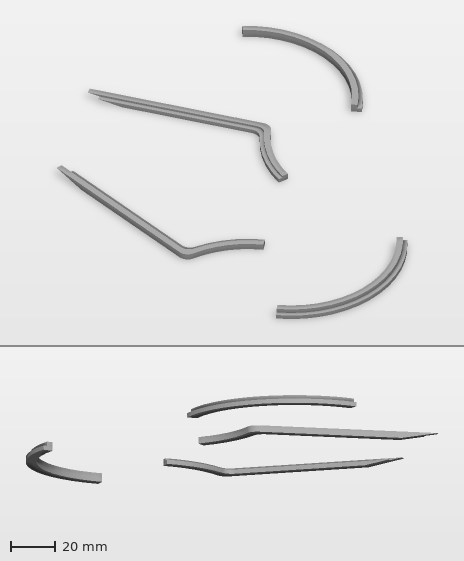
import cadquery as cq
import math

foot_height = 2.0
foot_width = 5.0
rail_width = 3.0
arc_height = 4.0
leg_height = 3.0

outer_radius = 52.5
inner_radius = outer_radius - foot_width

arc_sweep = 100
arc_places = [
    (69.6, 144.8, 10),
    (120.3, 51.7, -80),
]

tail_center_x = 134.0
tail_center_y = 5.3
tail_end_angle = 231
bend_radius = 5.0
tip_angle = 10

upper_leg_tip = (0.0, 129.4)
lower_leg_tip = (3.2, 70.2)
lower_leg_angle = -30


def polar(center, radius, angle):
    """Point at a radius and an angle in degrees around a centre."""
    turn = math.radians(angle)
    return (center[0] + radius * math.cos(turn), center[1] + radius * math.sin(turn))


def arc_strip(center, start_angle, width, height):
    """Curved strip that starts at the inner radius and has the given width."""
    radius = inner_radius + width
    middle_angle = start_angle + arc_sweep / 2
    end_angle = start_angle + arc_sweep
    return (
        cq.Workplane("XY")
        .moveTo(*polar(center, inner_radius, start_angle))
        .lineTo(*polar(center, radius, start_angle))
        .threePointArc(polar(center, radius, middle_angle), polar(center, radius, end_angle))
        .lineTo(*polar(center, inner_radius, end_angle))
        .threePointArc(
            polar(center, inner_radius, middle_angle), polar(center, inner_radius, start_angle)
        )
        .close()
        .extrude(height)
    )


def make_arc(center_x, center_y, start_angle):
    """Arc piece with its low foot ledge along the outer side."""
    center = (center_x, center_y)
    foot = arc_strip(center, start_angle, foot_width, foot_height)
    rail = arc_strip(center, start_angle, rail_width, arc_height)
    return foot.union(rail)


def bend_angle(offset):
    """Angle around the tail centre where a shaft edge meets its tail curve."""
    return 180 + math.degrees(math.asin((tail_center_y + offset) / (inner_radius + offset)))


def leg_strip(width, height):
    """Straight shaft running into a curved tail, with rounded bends."""
    center = (tail_center_x, tail_center_y)
    radius = inner_radius + width
    near_bend_angle = bend_angle(0)
    far_bend_angle = bend_angle(width)
    near_bend = polar(center, inner_radius, near_bend_angle)
    far_bend = polar(center, radius, far_bend_angle)
    near_middle = polar(center, inner_radius, (near_bend_angle + tail_end_angle) / 2)
    far_middle = polar(center, radius, (far_bend_angle + tail_end_angle) / 2)
    strip = (
        cq.Workplane("XY")
        .lineTo(*near_bend)
        .threePointArc(near_middle, polar(center, inner_radius, tail_end_angle))
        .lineTo(*polar(center, radius, tail_end_angle))
        .threePointArc(far_middle, far_bend)
        .lineTo(0, -width)
        .close()
        .extrude(height)
    )
    for bend in (near_bend, far_bend):
        corner = cq.NearestToPointSelector((bend[0], bend[1], height / 2))
        strip = strip.edges("|Z").edges(corner).fillet(bend_radius)
    return strip


def tip_wedge():
    """Material under the slope that thins the shaft to a sharp tip."""
    tip_length = leg_height / math.tan(math.radians(tip_angle))
    return (
        cq.Workplane("XZ")
        .lineTo(tip_length, 0)
        .lineTo(0, leg_height)
        .close()
        .extrude(foot_width)
    )


def make_leg():
    """Leg piece in its local frame, with the foot ledge on the -Y side of the shaft."""
    foot = leg_strip(foot_width, foot_height)
    rail = leg_strip(rail_width, leg_height)
    return foot.union(rail).cut(tip_wedge())


arcs = [make_arc(*place) for place in arc_places]

upper_leg = make_leg().translate((*upper_leg_tip, 0))

lower_leg = (
    make_leg()
    .mirror("XZ")
    .rotate((0, 0, 0), (0, 0, 1), lower_leg_angle)
    .translate((*lower_leg_tip, 0))
)

result = cq.Compound.makeCompound(
    [*[arc.val() for arc in arcs], upper_leg.val(), lower_leg.val()]
)